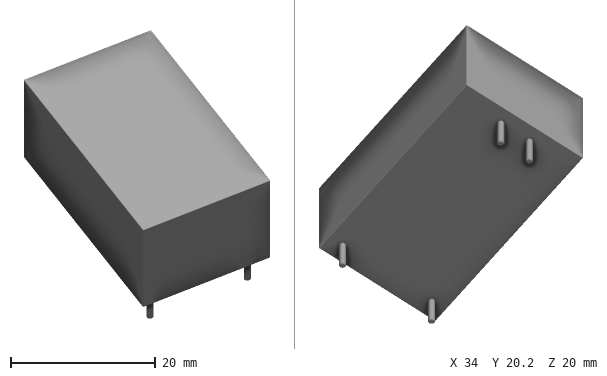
import cadquery as cq

body_length = 34.0
body_width = 20.2
overall_height = 20.0
pin_length = 5.0
body_height = overall_height - pin_length
edge_radius = 0.1

pin_diameter = 1.0
pin_tip_chamfer = 0.17
pin_row_x = 14.7
inner_pair_spacing = 4.95
inner_pair_offset = -0.05
outer_pair_spacing = 15.45


def make_body():
    """Block standing on Z = 0 with all its edges lightly rounded."""
    block = cq.Workplane("XY").box(body_length, body_width, body_height, centered=(True, True, False))
    return block.edges().fillet(edge_radius)


def make_pin_pair(x, spacing, offset=0.0):
    """Two pins hanging from the underside, centred on Y = offset."""
    pins = (
        cq.Workplane("XY")
        .pushPoints([(x, offset - spacing / 2), (x, offset + spacing / 2)])
        .circle(pin_diameter / 2)
        .extrude(-pin_length)
    )
    return pins.faces("<Z").chamfer(pin_tip_chamfer)


result = (
    make_body()
    .union(make_pin_pair(-pin_row_x, inner_pair_spacing, inner_pair_offset))
    .union(make_pin_pair(pin_row_x, outer_pair_spacing))
)